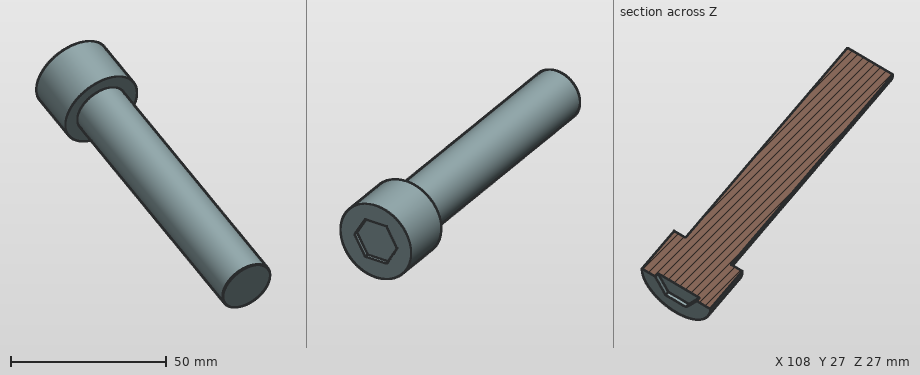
import cadquery as cq
import math

total_length = 108.0
shank_diameter = 18.0
head_diameter = 27.0
head_height = shank_diameter
tip_chamfer = 0.2

hex_across_flats = 14.0
hex_across_corners = hex_across_flats / math.cos(math.pi / 6)
socket_depth = 1.5

head_face_x = -total_length / 2


def cylinder_along_x(diameter, length):
    """Cylinder about the X axis, starting at the outer face of the head."""
    plane = cq.Workplane("YZ", origin=(head_face_x, 0, 0))
    return plane.circle(diameter / 2).extrude(length)


def hex_socket():
    """Hexagonal prism that is cut into the outer face of the head."""
    plane = cq.Workplane("YZ", origin=(head_face_x, 0, 0))
    return plane.polygon(6, hex_across_corners).extrude(socket_depth)


head = cylinder_along_x(head_diameter, head_height)
shank = cylinder_along_x(shank_diameter, total_length).faces(">X").chamfer(tip_chamfer)

result = head.union(shank).cut(hex_socket())